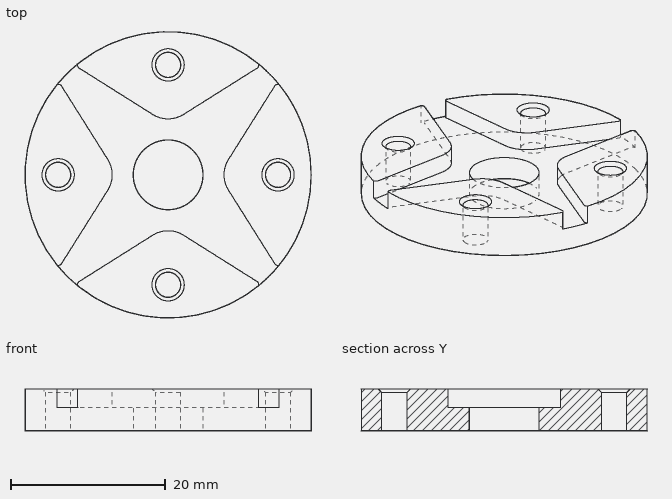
import cadquery as cq
import math

disc_diameter = 37.0
disc_height = 5.45
bore_diameter = 9.0

pad_count = 4
recess_depth = 2.4
pad_half_width = 11.7
pad_flank_angle = 32.2
pad_apex_radius = 6.55
nose_radius = 3.7
corner_radius = 0.37

hole_circle_radius = 14.2
hole_diameter = 3.22
hole_chamfer = 0.48

floor_height = disc_height - recess_depth


def make_pad_wedge():
    """Pad facing +Y, extending past the rim so that the disc can trim it."""
    corner_y = pad_apex_radius + pad_half_width * math.tan(math.radians(pad_flank_angle))
    wedge = (
        cq.Workplane("XY")
        .workplane(offset=floor_height)
        .moveTo(0, pad_apex_radius)
        .lineTo(pad_half_width, corner_y)
        .lineTo(pad_half_width, disc_diameter)
        .lineTo(-pad_half_width, disc_diameter)
        .lineTo(-pad_half_width, corner_y)
        .close()
        .extrude(recess_depth)
    )
    nose_edge = wedge.edges("|Z").edges("<Y")
    wedge = nose_edge.fillet(nose_radius)
    for side in (-1, 1):
        corner_point = (side * pad_half_width, corner_y, floor_height + recess_depth / 2)
        corner_edge = wedge.edges("|Z").edges(cq.NearestToPointSelector(corner_point))
        wedge = corner_edge.fillet(corner_radius)
    return wedge


recess = cq.Workplane("XY").workplane(offset=floor_height).circle(disc_diameter).extrude(recess_depth)
pad_wedge = make_pad_wedge()
for index in range(pad_count):
    recess = recess.cut(pad_wedge.rotate((0, 0, 0), (0, 0, 1), index * 360 / pad_count))
disc = cq.Workplane("XY").circle(disc_diameter / 2).extrude(disc_height)
result = disc.cut(recess)

bore = cq.Workplane("XY").circle(bore_diameter / 2).extrude(disc_height)
result = result.cut(bore)

result = (
    result.faces(">Z")
    .workplane(origin=(0, 0, disc_height))
    .polarArray(hole_circle_radius, 0, 360, pad_count)
    .cskHole(hole_diameter, hole_diameter + 2 * hole_chamfer, 90)
)